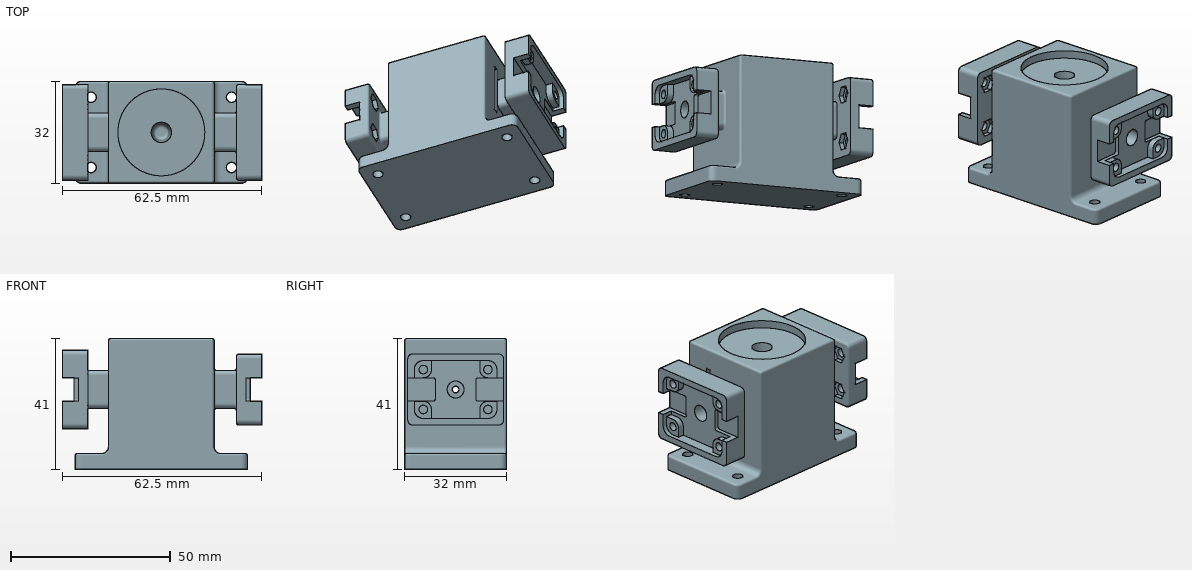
import cadquery as cq
import math

select_margin = 0.3

depth = 32.0
base_length = 54.0
base_height = 5.0
base_corner_radius = 2.0
block_length = 33.2
half_block = block_length / 2
total_height = 41.0
root_fillet = 2.0
edge_round = 0.75
mount_hole_diameter = 3.2
mount_pitch_y = 22.0
mount_pitch_x = 2 * mount_pitch_y

recess_diameter = 27.25
recess_depth = 2.5
bore_top_diameter = 6.4
bore_bottom_diameter = 4.75
bore_flat_diameter = 2.7
bore_depth = 10.0

axis_height = 25.0
total_length = 62.5
left_end = -31.0
right_end = left_end + total_length
plate_thickness = 8.0
plate_width = 30.0
left_plate_height = 24.6
right_plate_height = 22.25
plate_corner_radius = 1.55
plate_back_round = 0.75

rim_wall = 2.05
pocket_depth = 3.6
pocket_corner_radius = 2.8
pad_recess = 1.5
screw_inset = 4.9
pad_radius = 2.55
screw_diameter = 2.7
nut_width = 5.0
nut_depth = 1.5
nut_sides = 6

notch_height = 7.3
notch_depth = 5.0
notch_gap = 12.75
notch_radius = 0.6

stem_size = 12.0
stem_corner_radius = 1.55
stem_fillet = 0.6
axis_hole_diameter = 2.0
counterbore_diameter = 5.3

slot_width = 1.6
slot_height = 18.1
slot_depth = 3.0
slot_y = 7.3


def x_box(x_start, x_end, width, height, corner_radius):
    """Box along X between two positions, centred on the plate axis, its long edges rounded."""
    box = cq.Workplane("XY").box(abs(x_end - x_start), width, height)
    box = box.edges("|X").fillet(corner_radius)
    return box.translate(((x_start + x_end) / 2, 0, axis_height))


def x_cylinder(x_start, x_end, diameter):
    """Cylinder along X between two positions, on the plate axis."""
    cylinder = cq.Workplane("YZ").circle(diameter / 2).extrude(x_end - x_start)
    return cylinder.translate((x_start, 0, axis_height))


def make_body():
    """Base and block as one solid, flush on both Y sides, without holes."""
    base = (
        cq.Workplane("XY")
        .box(base_length, depth, base_height, centered=(True, True, False))
        .edges("|Z")
        .fillet(base_corner_radius)
    )
    block = cq.Workplane("XY").box(block_length, depth, total_height, centered=(True, True, False))
    root_area = cq.selectors.BoxSelector(
        (-half_block - select_margin, -select_margin, base_height - select_margin),
        (half_block + select_margin, select_margin, base_height + select_margin),
    )
    body = base.union(block).clean().edges(root_area).fillet(root_fillet)

    above_base = cq.selectors.BoxSelector(
        (-base_length, -depth, base_height - select_margin),
        (base_length, depth, total_height + select_margin),
    )
    side_edges = body.faces("<Y or >Y").edges(above_base)
    top_edges = body.faces(">Z").edges("|Y")
    return side_edges.add(top_edges).fillet(edge_round)


def cut_top(body):
    """Round recess in the top, with a tapered bore that ends in a rounded bottom."""
    recess_floor = total_height - recess_depth
    recess_plane = cq.Workplane("XY", origin=(0, 0, recess_floor))
    recess = recess_plane.circle(recess_diameter / 2).extrude(recess_depth)
    bottom_radius = (bore_bottom_diameter - bore_flat_diameter) / 2
    bore_floor = recess_floor - bore_depth
    arc_mid = bottom_radius * math.sqrt(0.5)
    bore = (
        cq.Workplane("XZ")
        .moveTo(0, bore_floor)
        .lineTo(bore_flat_diameter / 2, bore_floor)
        .threePointArc(
            (bore_flat_diameter / 2 + arc_mid, bore_floor + bottom_radius - arc_mid),
            (bore_bottom_diameter / 2, bore_floor + bottom_radius),
        )
        .lineTo(bore_top_diameter / 2, recess_floor)
        .lineTo(0, recess_floor)
        .close()
        .revolve(360, (0, 0, 0), (0, 1, 0))
    )
    return body.cut(recess).cut(bore)


def cut_mount_holes(body):
    holes = (
        cq.Workplane("XY")
        .rect(mount_pitch_x, mount_pitch_y, forConstruction=True)
        .vertices()
        .circle(mount_hole_diameter / 2)
        .extrude(base_height)
    )
    return body.cut(holes)


def plate_corners(height, inset):
    """Y and Z offsets from the plate axis of the four points set in from the plate corners."""
    y = plate_width / 2 - inset
    z = height / 2 - inset
    return [(-y, -z), (-y, z), (y, -z), (y, z)]


def plate_blank(outer_x, inward, height):
    """Plain plate; outer_x is its open face, inward is +1 or -1 and points to the block."""
    back_x = outer_x + inward * plate_thickness
    return x_box(outer_x, back_x, plate_width, height, plate_corner_radius)


def cut_plate(body, outer_x, inward, height):
    """Cut the pocket, side notches, screw holes and nut traps of one plate."""
    back_x = outer_x + inward * plate_thickness
    floor_x = outer_x + inward * pocket_depth
    pad_x = outer_x + inward * pad_recess

    pocket = x_box(
        outer_x, floor_x, plate_width - 2 * rim_wall, height - 2 * rim_wall, pocket_corner_radius
    )
    pad_size = 2 * (screw_inset + pad_radius)
    pad = x_box(pad_x, floor_x, pad_size, pad_size, pad_radius)
    for y, z in plate_corners(height, 0):
        pocket = pocket.cut(pad.translate((0, y, z)))
    body = body.cut(pocket)

    notch_x = outer_x + inward * notch_depth
    notch_length = plate_width - notch_gap
    notch = x_box(outer_x, notch_x, notch_length, notch_height, notch_radius)
    for side in (-1, 1):
        body = body.cut(notch.translate((0, side * plate_width / 2, 0)))

    screw = x_cylinder(min(outer_x, back_x), max(outer_x, back_x), screw_diameter)
    nut_corners = nut_width / math.cos(math.pi / nut_sides)
    nut = cq.Workplane("YZ").polygon(nut_sides, nut_corners).extrude(-inward * nut_depth)
    nut = nut.translate((back_x, 0, axis_height))
    for y, z in plate_corners(height, screw_inset):
        body = body.cut(screw.translate((0, y, z))).cut(nut.translate((0, y, z)))
    return body


def add_left_arm(body):
    stem = x_box(left_end + plate_thickness, -half_block, stem_size, stem_size, stem_corner_radius)
    return body.union(stem).union(plate_blank(left_end, 1, left_plate_height))


def add_right_arm(body):
    """Right plate with a rounded back, on a stem that is filleted at both ends."""
    back_x = right_end - plate_thickness
    plate = plate_blank(right_end, -1, right_plate_height).faces("<X").edges().fillet(plate_back_round)
    stem = x_box(half_block, back_x, stem_size, stem_size, stem_corner_radius)
    body = body.union(stem).union(plate)
    reach = stem_size / 2 + select_margin
    for x in (half_block, back_x):
        stem_end = cq.selectors.BoxSelector(
            (x - select_margin, -reach, axis_height - reach),
            (x + select_margin, reach, axis_height + reach),
        )
        body = body.edges(stem_end).fillet(stem_fillet)
    return body


def cut_axis_holes(body):
    """Small hole through the whole part, widened from each plate to the block."""
    body = body.cut(x_cylinder(left_end, right_end, axis_hole_diameter))
    body = body.cut(x_cylinder(left_end, -half_block, counterbore_diameter))
    return body.cut(x_cylinder(half_block, right_end, counterbore_diameter))


def cut_wall_slot(body):
    slot = cq.Workplane("XY").box(2 * slot_depth, slot_width, slot_height)
    return body.cut(slot.translate((-half_block, slot_y, axis_height)))


result = make_body()
result = add_right_arm(add_left_arm(result))
result = cut_plate(result, left_end, 1, left_plate_height)
result = cut_plate(result, right_end, -1, right_plate_height)
result = cut_top(result)
result = cut_mount_holes(result)
result = cut_axis_holes(result)
result = cut_wall_slot(result)